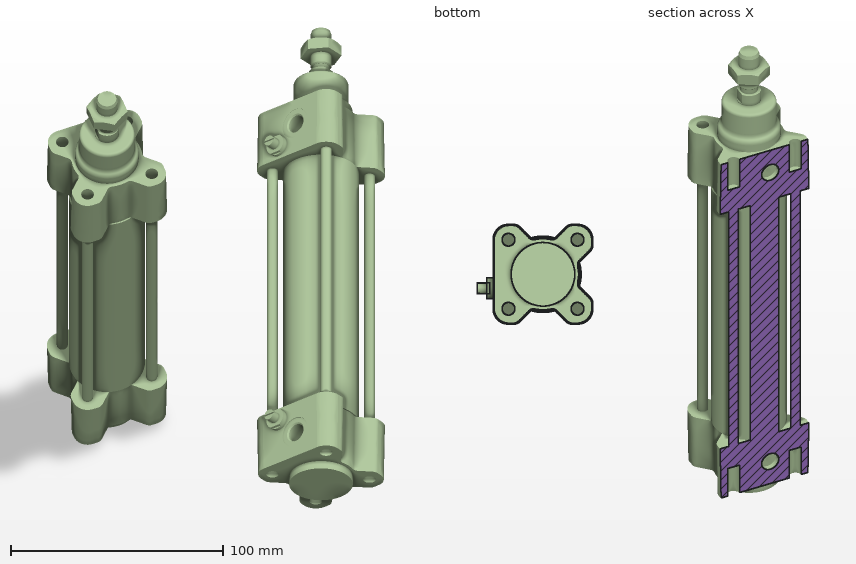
import cadquery as cq
import math

BODY_LENGTH = 194.0
HEAD_LENGTH = 29.0
REAR_SPIGOT_LENGTH = 4.0
ROD_SHOULDER_HEIGHT = 26.0
THREAD_END_HEIGHT = 48.0

HEAD_WIDTH = 47.0
FACE_X = -HEAD_WIDTH / 2
BOLT_PITCH = 32.5
CORNER_RADIUS = HEAD_WIDTH / 2 - BOLT_PITCH / 2
LOBE_RADIUS = 4.2
WAIST_RADIUS = 17.3
WAIST_FILLET = 2.2
HEAD_DRAFT = 1.0
DIAGONAL_OFFSET = 11.4
BOLT_HOLE_DIAMETER = 6.0
BOLT_HOLE_DEPTH = 16.0

PORT_Y = -3.0
PORT_FROM_END = 13.0
PORT_DIAMETER = 8.75
PORT_MOUTH_DIAMETER = 10.0
PORT_DEPTH = 10.0
SPOTFACE_DIAMETER = 15.0
SPOTFACE_DEPTH = 0.5
SCREW_Y = 6.6
SCREW_FROM_END = 22.5
SCREW_REACH = 7.5
SCREW_ROOT = 1.0
SCREW_DIAMETER = 5.2
SCREW_SLOT_WIDTH = 0.8
SCREW_SLOT_DEPTH = 1.0
COLLAR_DIAMETER = 10.0
COLLAR_FLATS_WIDTH = 8.5
COLLAR_FLATS_LENGTH = 1.5
COLLAR_LENGTH = 3.0

BARREL_DIAMETER = 36.0
TIE_ROD_DIAMETER = 5.2

SPIGOT_DIAMETER = 30.0
FRONT_SPIGOT_LENGTH = 4.0
NOSE_START = 8.6
NOSE_DIAMETER = 26.0
NOSE_TOP = 20.2
NOSE_ROUND = 1.6

ROD_DIAMETER = 11.5
ROD_FLATS_WIDTH = 10.0
FLATS_START = 20.7
NECK_DIAMETER = 8.5
NECK_LENGTH = 2.7
THREAD_DIAMETER = 10.0
THREAD_TIP_DIAMETER = 8.75
THREAD_TIP_LENGTH = 1.7
THREAD_ROOT_CHAMFER = 0.6

NUT_ACROSS_FLATS = 17.0
NUT_THICKNESS = 6.0
NUT_START = 34.5
NUT_FACE_DIAMETER = 16.5
NUT_CHAMFER_ANGLE = 30.0

PICK_MARGIN = 0.1


def disc(diameter, bottom, top):
    """Cylinder on the Z axis between two heights."""
    return cq.Workplane("XY").workplane(offset=bottom).circle(diameter / 2).extrude(top - bottom)


def side_disc(diameter, y, z, start, end):
    """Cylinder along X between two X positions."""
    return cq.Workplane("YZ", origin=(start, y, z)).circle(diameter / 2).extrude(end - start)


def bolt_points():
    half = BOLT_PITCH / 2
    return [(sx * half, sy * half) for sx in (-1, 1) for sy in (-1, 1)]


def fillet_corner(solid, x, y, radius):
    """Round the vertical edge of a head-length solid at one corner point."""
    corner = cq.selectors.BoxSelector(
        (x - PICK_MARGIN, y - PICK_MARGIN, 0),
        (x + PICK_MARGIN, y + PICK_MARGIN, HEAD_LENGTH),
    )
    return solid.edges("|Z").edges(corner).fillet(radius)


def notch():
    """Waist cut on the +Y side: 45 degree flanks down to a barrel-centred arc."""
    outer = HEAD_WIDTH
    foot = (math.sqrt(2 * WAIST_RADIUS**2 - DIAGONAL_OFFSET**2) - DIAGONAL_OFFSET) / 2
    foot_y = foot + DIAGONAL_OFFSET
    cut = (
        cq.Workplane("XY")
        .moveTo(foot, foot_y)
        .lineTo(outer - DIAGONAL_OFFSET, outer)
        .lineTo(DIAGONAL_OFFSET - outer, outer)
        .lineTo(-foot, foot_y)
        .threePointArc((0, WAIST_RADIUS), (foot, foot_y))
        .close()
        .extrude(HEAD_LENGTH)
    )
    for x in (-foot, foot):
        cut = fillet_corner(cut, x, foot_y, WAIST_FILLET)
    return cut


def head_block():
    """Head standing on its wide barrel-side face, drafted inwards towards its mounting face."""
    block = cq.Workplane("XY").rect(HEAD_WIDTH, HEAD_WIDTH).extrude(HEAD_LENGTH)
    block = block.edges("|Z").fillet(CORNER_RADIUS)
    for angle in (0, 180, -90):
        block = block.cut(notch().rotate((0, 0, 0), (0, 0, 1), angle))
    half = HEAD_WIDTH / 2
    tip = half - DIAGONAL_OFFSET
    for x, y in ((-tip, half), (tip, half), (-tip, -half), (tip, -half), (half, tip), (half, -tip)):
        block = fillet_corner(block, x, y, LOBE_RADIUS)
    return block.faces("<Z").wires().toPending().extrude(HEAD_LENGTH, combine=False, taper=HEAD_DRAFT)


def port_cutter(z):
    """Stepped air port: shallow spotface, 45 degree mouth and drilled hole."""
    floor_x = FACE_X + SPOTFACE_DEPTH
    mouth_radius = PORT_MOUTH_DIAMETER / 2
    drill_radius = PORT_DIAMETER / 2
    mouth = cq.Solid.makeCone(
        mouth_radius,
        drill_radius,
        mouth_radius - drill_radius,
        pnt=cq.Vector(floor_x, PORT_Y, z),
        dir=cq.Vector(1, 0, 0),
    )
    spotface = side_disc(SPOTFACE_DIAMETER, PORT_Y, z, FACE_X, floor_x)
    drill = side_disc(PORT_DIAMETER, PORT_Y, z, FACE_X, FACE_X + PORT_DEPTH)
    return spotface.union(drill).union(cq.Workplane(mouth))


def cushioning_screw(z):
    """Slotted screw in a round collar with two wrench flats on its outer half."""
    tip_x = FACE_X - SCREW_REACH
    collar_x = FACE_X - COLLAR_LENGTH
    root_x = FACE_X + SCREW_ROOT
    flats_end_x = collar_x + COLLAR_FLATS_LENGTH

    slot = cq.Workplane("XY", origin=(tip_x, SCREW_Y, z)).box(
        2 * SCREW_SLOT_DEPTH, SCREW_DIAMETER, SCREW_SLOT_WIDTH
    )
    stem = side_disc(SCREW_DIAMETER, SCREW_Y, z, tip_x, root_x).cut(slot)

    flatted = side_disc(COLLAR_DIAMETER, SCREW_Y, z, collar_x, flats_end_x)
    flatted = flatted.intersect(
        cq.Workplane("XY", origin=(collar_x, SCREW_Y, z)).box(
            2 * COLLAR_FLATS_LENGTH, COLLAR_DIAMETER, COLLAR_FLATS_WIDTH
        )
    )
    collar = side_disc(COLLAR_DIAMETER, SCREW_Y, z, flats_end_x, root_x)
    return collar.union(flatted).union(stem)


def cap(outer_z, inward):
    """End cap with its outer face at outer_z; inward is the Z direction towards the barrel."""
    body = head_block()
    if inward > 0:
        body = body.mirror("XY")
    body = body.translate((0, 0, outer_z + inward * HEAD_LENGTH))
    bolt_holes = (
        cq.Workplane("XY", origin=(0, 0, outer_z))
        .pushPoints(bolt_points())
        .circle(BOLT_HOLE_DIAMETER / 2)
        .extrude(inward * BOLT_HOLE_DEPTH)
    )
    body = body.cut(bolt_holes)
    body = body.cut(port_cutter(outer_z + inward * PORT_FROM_END))
    return body.union(cushioning_screw(outer_z + inward * SCREW_FROM_END))


def make_housing():
    barrel = disc(BARREL_DIAMETER, HEAD_LENGTH, BODY_LENGTH - HEAD_LENGTH)
    tie_rods = (
        cq.Workplane("XY", origin=(0, 0, HEAD_LENGTH))
        .pushPoints(bolt_points())
        .circle(TIE_ROD_DIAMETER / 2)
        .extrude(BODY_LENGTH - 2 * HEAD_LENGTH)
    )
    spigot_r = SPIGOT_DIAMETER / 2
    nose_r = NOSE_DIAMETER / 2
    blend_mid = ((spigot_r + nose_r) / 2, (FRONT_SPIGOT_LENGTH + NOSE_START) / 2)
    nose = (
        cq.Workplane("XZ", origin=(0, 0, BODY_LENGTH))
        .lineTo(spigot_r, 0)
        .lineTo(spigot_r, FRONT_SPIGOT_LENGTH)
        .tangentArcPoint(blend_mid, relative=False)
        .tangentArcPoint((nose_r, NOSE_START), relative=False)
        .lineTo(nose_r, NOSE_TOP)
        .lineTo(0, NOSE_TOP)
        .close()
        .revolve(360, (0, 0, 0), (0, 1, 0))
        .faces(">Z")
        .edges()
        .fillet(NOSE_ROUND)
    )
    housing = cap(0, 1).union(cap(BODY_LENGTH, -1)).union(barrel).union(tie_rods).union(nose)
    housing = housing.union(disc(SPIGOT_DIAMETER, -REAR_SPIGOT_LENGTH, 0))
    return housing.cut(disc(ROD_DIAMETER, BODY_LENGTH, BODY_LENGTH + NOSE_TOP))


def make_rod():
    rod_radius = ROD_DIAMETER / 2
    neck_radius = NECK_DIAMETER / 2
    thread_radius = THREAD_DIAMETER / 2
    thread_start = ROD_SHOULDER_HEIGHT + NECK_LENGTH
    rod = (
        cq.Workplane("XZ", origin=(0, 0, BODY_LENGTH))
        .polyline([
            (0, 0),
            (rod_radius, 0),
            (rod_radius, ROD_SHOULDER_HEIGHT),
            (neck_radius, ROD_SHOULDER_HEIGHT),
            (neck_radius, thread_start),
            (thread_radius - THREAD_ROOT_CHAMFER, thread_start),
            (thread_radius, thread_start + THREAD_ROOT_CHAMFER),
            (thread_radius, THREAD_END_HEIGHT - THREAD_TIP_LENGTH),
            (THREAD_TIP_DIAMETER / 2, THREAD_END_HEIGHT),
            (0, THREAD_END_HEIGHT),
        ])
        .close()
        .revolve(360, (0, 0, 0), (0, 1, 0))
    )
    flats_length = ROD_SHOULDER_HEIGHT - FLATS_START
    flats = (
        cq.Workplane("XY", origin=(0, 0, BODY_LENGTH + FLATS_START))
        .rect(ROD_DIAMETER, ROD_DIAMETER)
        .extrude(flats_length)
        .cut(
            cq.Workplane("XY", origin=(0, 0, BODY_LENGTH + FLATS_START))
            .rect(ROD_DIAMETER, ROD_FLATS_WIDTH)
            .extrude(flats_length)
        )
    )
    return rod.cut(flats)


def make_nut():
    bottom = BODY_LENGTH + NUT_START
    corner_diameter = NUT_ACROSS_FLATS / math.cos(math.pi / 6)
    nut = cq.Workplane("XY", origin=(0, 0, bottom)).polygon(6, corner_diameter).extrude(NUT_THICKNESS)
    width = (corner_diameter - NUT_FACE_DIAMETER) / 2
    height = width * math.tan(math.radians(NUT_CHAMFER_ANGLE))
    envelope = disc(corner_diameter, bottom, bottom + NUT_THICKNESS)
    envelope = envelope.faces(">Z").chamfer(height, width)
    nut = nut.intersect(envelope)
    return nut.cut(disc(THREAD_DIAMETER, bottom, bottom + NUT_THICKNESS))


housing = make_housing()
rod = make_rod()
nut = make_nut()

result = cq.Compound.makeCompound([housing.val(), rod.val(), nut.val()])